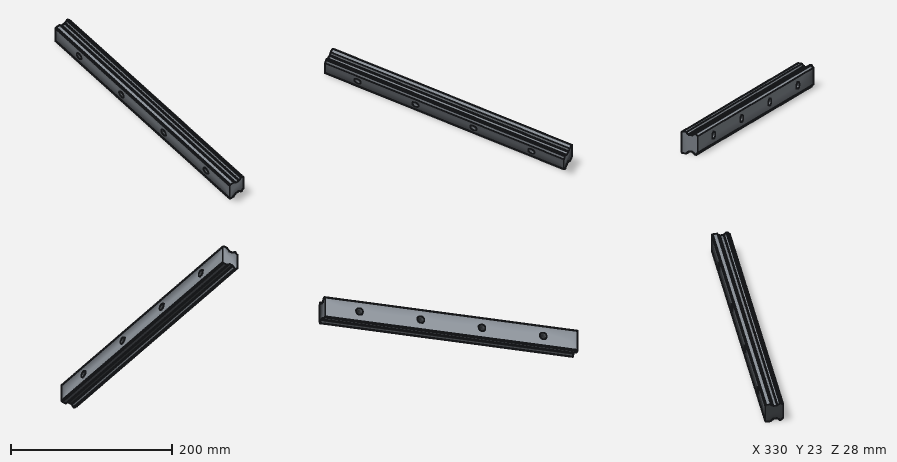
import cadquery as cq

LENGTH = 330.0
DEPTH = 23.0
HEIGHT = 28.0

FRONT_CHAMFER = 1.4

GROOVE_CENTER = 12.7
GROOVE_WIDTH = 11.3
GROOVE_FLOOR_WIDTH = 4.4
GROOVE_DEPTH = 3.5
GROOVE_STEP = 0.8

RACEWAY_RADIUS = 3.5
CORNER_DEPTH = 2.7
CORNER_HEIGHT = 3.1

HOLE_DIAMETER = 9.0
HOLE_COUNT = 4
HOLE_PITCH = 80.0


def rail_body():
    """Extrude the upper half of the section and mirror it into the lower half."""
    front = -DEPTH / 2
    back = DEPTH / 2
    top = HEIGHT / 2
    floor = top - GROOVE_DEPTH
    shelf = floor + GROOVE_STEP
    center = front + GROOVE_CENTER
    half_width = GROOVE_WIDTH / 2
    half_floor = GROOVE_FLOOR_WIDTH / 2
    half_shelf = half_floor + GROOVE_STEP
    upper_half = (
        cq.Workplane("YZ")
        .moveTo(front, 0)
        .lineTo(front, top - FRONT_CHAMFER)
        .lineTo(front + FRONT_CHAMFER, top)
        .lineTo(center - half_width, top)
        .radiusArc((center - half_shelf, shelf), -RACEWAY_RADIUS)
        .lineTo(center - half_floor, floor)
        .lineTo(center + half_floor, floor)
        .lineTo(center + half_shelf, shelf)
        .radiusArc((center + half_width, top), -RACEWAY_RADIUS)
        .lineTo(back - CORNER_DEPTH, top)
        .radiusArc((back, top - CORNER_HEIGHT), -RACEWAY_RADIUS)
        .lineTo(back, 0)
        .close()
        .extrude(LENGTH / 2, both=True)
    )
    return upper_half.union(upper_half.mirror("XY")).clean()


def mounting_holes():
    """Row of cylinders that pass through the rail from front to back."""
    return (
        cq.Workplane("XZ")
        .rarray(HOLE_PITCH, 1, HOLE_COUNT, 1)
        .circle(HOLE_DIAMETER / 2)
        .extrude(DEPTH, both=True)
    )


result = rail_body().cut(mounting_holes())